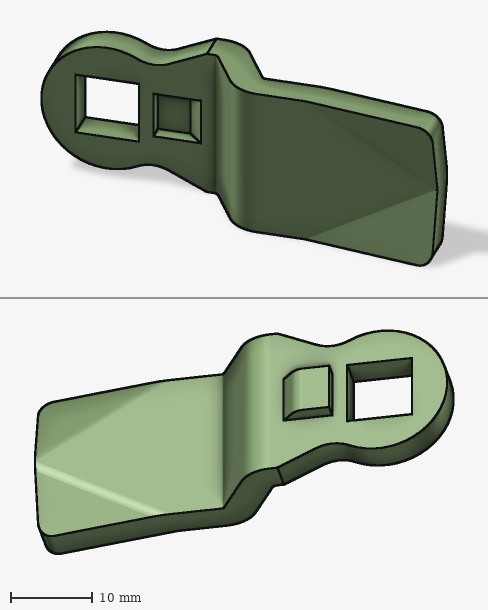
import cadquery as cq
import math

length = 53.5
width = 19.5
thickness = 4.05
half_width = width / 2

head_radius = 8.5
hole_side = 8.15
neck_radius = 4.8
neck_start_angle = math.radians(26.7)
shoulder_angle = math.radians(24.5)

crank_x = 14.2
crank_drop = 7.95
crank_angle = math.radians(59)
first_inner_radius = 0.8
first_outer_radius = 4.8
second_inner_radius = 0.3
second_outer_radius = 5.0

fold_start_x = 27.95
fold_tip_x = 44.85
fold_angle = math.radians(17)
corner_radius = 2.0

lug_x = 5.95
lug_length = 6.15
lug_width = 6.0
lug_height = 2.0
lug_radius = 2.15

end_x = length - head_radius
paddle_front_y = -crank_drop


def make_footprint():
    """Outline of the whole lever in XZ, extruded well past the plate on both sides."""
    reach = 2 * length
    head_x = head_radius * math.sin(neck_start_angle)
    head_z = head_radius * math.cos(neck_start_angle)
    neck_x = (head_radius + neck_radius) * math.sin(neck_start_angle)
    neck_z = (head_radius + neck_radius) * math.cos(neck_start_angle)
    shoulder_x = neck_x + neck_radius * math.sin(shoulder_angle)
    shoulder_z = neck_z - neck_radius * math.cos(shoulder_angle)
    middle_angle = (shoulder_angle - neck_start_angle) / 2
    middle_x = neck_x + neck_radius * math.sin(middle_angle)
    middle_z = neck_z - neck_radius * math.cos(middle_angle)
    full_width_x = shoulder_x + (half_width - shoulder_z) / math.tan(shoulder_angle)
    body = (
        cq.Workplane("XZ", origin=(0, reach / 2, 0))
        .moveTo(head_x, -head_z)
        .threePointArc((-head_radius, 0), (head_x, head_z))
        .threePointArc((middle_x, middle_z), (shoulder_x, shoulder_z))
        .lineTo(full_width_x, half_width)
        .lineTo(end_x, half_width)
        .lineTo(end_x, -half_width)
        .lineTo(full_width_x, -half_width)
        .lineTo(shoulder_x, -shoulder_z)
        .threePointArc((middle_x, -middle_z), (head_x, -head_z))
        .close()
        .extrude(reach)
    )
    return body.edges("|Y and >X").fillet(corner_radius)


def make_cranked_plate():
    """Cranked strip, full width, with its paddle still flat."""
    run = crank_drop / math.tan(crank_angle)
    miter = thickness * math.tan(crank_angle / 2)
    bends = [
        (crank_x, 0, first_inner_radius),
        (crank_x + run, -crank_drop, second_outer_radius),
        (crank_x + run + miter, thickness - crank_drop, second_inner_radius),
        (crank_x + miter, thickness, first_outer_radius),
    ]
    outline = [
        (-head_radius, 0),
        bends[0][:2],
        bends[1][:2],
        (end_x, -crank_drop),
        (end_x, thickness - crank_drop),
        bends[2][:2],
        bends[3][:2],
        (-head_radius, thickness),
    ]
    plate = cq.Workplane("XY", origin=(0, 0, -half_width)).polyline(outline).close().extrude(width)
    for x, y, radius in bends:
        plate = plate.edges(cq.selectors.NearestToPointSelector((x, y, 0))).fillet(radius)
    return plate


def make_folded_half():
    """Upper half of the paddle: a strip bent about its slanting fold line, rounded at the back."""
    fold_run = fold_tip_x - fold_start_x
    fold_plane = cq.Plane(
        origin=(fold_tip_x, paddle_front_y, 0),
        xDir=(half_width, 0, fold_run),
        normal=(-fold_run, 0, half_width),
    )
    reach = length / 2
    wing_x = reach * math.cos(fold_angle)
    wing_y = -reach * math.sin(fold_angle)
    skin_x = thickness * math.sin(fold_angle)
    skin_y = thickness * math.cos(fold_angle)
    arc_middle_x = thickness * math.sin(fold_angle / 2)
    arc_middle_y = thickness * math.cos(fold_angle / 2)
    strip = (
        cq.Workplane(fold_plane)
        .moveTo(-reach, 0)
        .lineTo(0, 0)
        .lineTo(wing_x, wing_y)
        .lineTo(wing_x + skin_x, wing_y + skin_y)
        .lineTo(skin_x, skin_y)
        .threePointArc((arc_middle_x, arc_middle_y), (0, thickness))
        .lineTo(-reach, thickness)
        .close()
        .extrude(length, both=True)
    )
    half_box = cq.Workplane("XY").box(
        end_x - fold_start_x, length, half_width, centered=(False, True, False)
    ).translate((fold_start_x, 0, 0))
    return strip.intersect(half_box)


def make_lug_prism():
    """Block with a 45 degree end, the shape of both the lug and its pocket."""
    return (
        cq.Workplane("XY", origin=(lug_x, 0, -lug_width / 2))
        .polyline([(0, 0), (lug_length, 0), (lug_length - lug_height, lug_height), (0, lug_height)])
        .close()
        .extrude(lug_width)
    )


flat_section = cq.Workplane("XY").box(
    head_radius + fold_start_x, length, width, centered=(False, True, True)
).translate((-head_radius, 0, 0))
folded_half = make_folded_half()
lever = make_cranked_plate().intersect(flat_section)
lever = lever.union(folded_half).union(folded_half.mirror("XY"))
lever = lever.intersect(make_footprint())

square_hole = cq.Workplane("XY").box(hole_side, length, hole_side)
lug_pocket = make_lug_prism()
lug_corner = cq.selectors.NearestToPointSelector((lug_x + lug_length - lug_height, lug_height, 0))
lug = lug_pocket.edges(lug_corner).fillet(lug_radius)
lug = lug.translate((0, thickness, 0))

result = lever.union(lug).cut(square_hole).cut(lug_pocket)